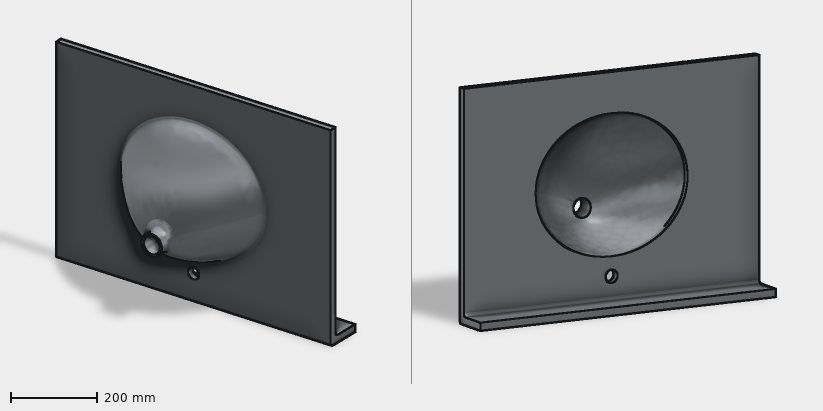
import cadquery as cq

width = 787.5
height = 559.0
thickness = 20.0
ledge_reach = 97.0
bend_radius = 8.0

bowl_sections = [
    (0.0, 292.0, 207.0, 174.0),
    (31.5, 285.0, 184.0, 161.0),
    (57.0, 277.0, 161.0, 143.0),
    (81.0, 268.0, 135.0, 121.0),
    (106.0, 253.5, 94.5, 90.0),
    (119.0, 241.0, 60.0, 62.0),
    (127.0, 223.0, 16.0, 16.0),
]
wall_depth = 6.0
wall_side = 5.0
rim_fillet = 8.0

drain_height = 212.5
drain_radius = 29.0
drain_bore_radius = 23.0
drain_reach = 164.0
drain_root_depth = 102.0
drain_fillet = 24.0
tap_hole_height = 75.5
tap_hole_radius = 16.0

end_clearance = 8.0
face_tolerance = 1.0


def front_plane(depth, z):
    """Plane facing forward, at a distance in front of the panel face."""
    return cq.Workplane("XZ", origin=(0, -depth, z))


def make_panel():
    profile = [
        (0, 0),
        (0, height),
        (thickness, height),
        (thickness, thickness),
        (ledge_reach, thickness),
        (ledge_reach, 0),
    ]
    panel = cq.Workplane("YZ").polyline(profile).close().extrude(width / 2, both=True)
    inner_bend = cq.selectors.NearestToPointSelector((0, thickness, thickness))
    outer_bend = cq.selectors.NearestToPointSelector((0, 0, 0))
    panel = panel.edges(inner_bend).fillet(bend_radius)
    return panel.edges(outer_bend).fillet(bend_radius)


def make_bowl(depth_inset, side_inset):
    """Smooth solid through the bowl sections, moved inward by the insets."""
    wires = []
    for depth, centre, half_width, half_height in bowl_sections:
        section = front_plane(depth - depth_inset, centre)
        section = section.ellipse(half_width - side_inset, half_height - side_inset)
        wires.append(section.wire().val())
    return cq.Workplane(obj=cq.Solid.makeLoft(wires))


def make_outside():
    spout = front_plane(drain_root_depth, drain_height).circle(drain_radius)
    spout = spout.extrude(drain_reach - drain_root_depth)
    bowl = make_bowl(0, 0).union(spout)
    reach = 2 * drain_radius
    root = cq.selectors.BoxSelector(
        (-reach, -drain_reach + end_clearance, drain_height - reach),
        (reach, -drain_root_depth, drain_height + reach),
        boundingbox=True,
    )
    bowl = bowl.edges(root).edges("not %LINE").fillet(drain_fillet)
    sink = make_panel().union(bowl)
    rim = cq.selectors.BoxSelector(
        (-width / 3, -face_tolerance, ledge_reach),
        (width / 3, face_tolerance, height - ledge_reach / 2),
        boundingbox=True,
    )
    return sink.edges(rim).fillet(rim_fillet)


def make_cavity():
    """Bowl interior, continued straight out through the rear of the panel."""
    _, centre, half_width, half_height = bowl_sections[0]
    opening = front_plane(-thickness, centre)
    opening = opening.ellipse(half_width - wall_side, half_height - wall_side)
    return make_bowl(wall_depth, wall_side).union(opening.extrude(thickness - wall_depth))


def make_bore(z, radius, depth):
    """Round hole from the rear of the panel to a depth in front of it."""
    return front_plane(-thickness, z).circle(radius).extrude(thickness + depth)


result = (
    make_outside()
    .cut(make_cavity())
    .cut(make_bore(drain_height, drain_bore_radius, drain_reach))
    .cut(make_bore(tap_hole_height, tap_hole_radius, 0))
)